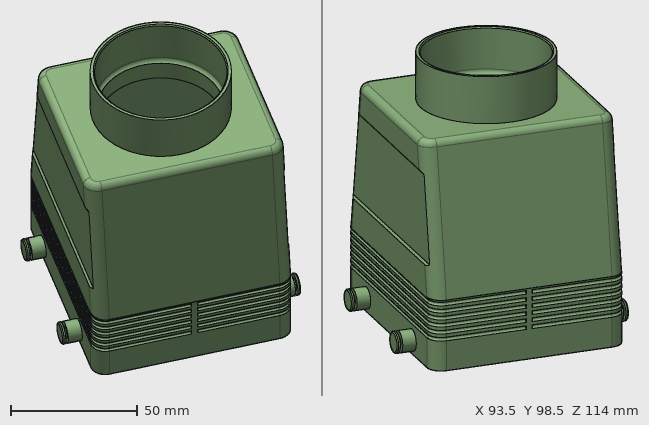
import cadquery as cq


BASE_X = 93.5
BASE_Y = 82.5
CORNER_R = 6.0
BASE_TOP = 30.0
BODY_TOP = 94.0
TOTAL_Z = 114.0

BODY_BOTTOM_X = 93.2
BODY_TOP_X = 72.0
TOP_EDGE_R = 3.0

PANEL_DEPTH = 0.9
PANEL_BOTTOM = 42.9
PANEL_TOP = 81.0

GROOVE_R = 0.75
GROOVE_COUNT = 6
GROOVE_PITCH = 3.0
FIRST_GROOVE_Z = 13.5
PLAIN_STRIP_WIDTH = 2.6

NECK_D = 56.0
BORE_D = 52.5
PASSAGE_D = 50.0
RIM_CHAMFER = 0.5
BORE_DEPTH = 17.9
BORE_STEP_HEIGHT = 2.0

CAVITY_X = 68.0
CAVITY_Y = 71.5
CAVITY_TOP = 86.0

PIN_SPAN_Y = 98.5
PIN_X = 24.75
PIN_Z = 6.0
PIN_D = 9.0
PIN_NECK_D = 5.0
PIN_HEAD_LENGTH = 1.25
PIN_NECK_LENGTH = 1.0
PIN_HEAD_CHAMFER = 0.5
PIN_ROOT = 1.0


def make_base():
    block = cq.Workplane("XY").box(BASE_X, BASE_Y, BASE_TOP, centered=(True, True, False))
    return block.edges("|Z").fillet(CORNER_R)


def make_groove(z):
    """Round bead along the base outline, interrupted in the middle of both X faces."""
    outline = (
        cq.Workplane("XY", origin=(0, 0, z))
        .rect(BASE_X, BASE_Y)
        .extrude(1)
        .edges("|Z")
        .fillet(CORNER_R)
        .faces("<Z")
        .wires()
    )
    bead = cq.Workplane("YZ", origin=(0, -BASE_Y / 2, z)).circle(GROOVE_R).sweep(outline)
    strip = cq.Workplane("XY", origin=(0, 0, z)).box(2 * BASE_X, PLAIN_STRIP_WIDTH, 4 * GROOVE_R)
    return bead.cut(strip)


def make_body():
    """Block tapering in X only, with rounded corners and a rounded top edge."""
    body = (
        cq.Workplane("XZ", origin=(0, BASE_Y / 2, 0))
        .moveTo(-BODY_BOTTOM_X / 2, BASE_TOP)
        .lineTo(BODY_BOTTOM_X / 2, BASE_TOP)
        .lineTo(BODY_TOP_X / 2, BODY_TOP)
        .lineTo(-BODY_TOP_X / 2, BODY_TOP)
        .close()
        .extrude(BASE_Y)
    )
    slanted_edges = body.faces("<Y or >Y").edges("not #Z")
    body = slanted_edges.fillet(CORNER_R)
    return body.faces(">Z").edges().fillet(TOP_EDGE_R)


def make_panel_cut():
    """Full-width cut with 45 degree end slopes, for the -Y face."""
    outer_y = -BASE_Y / 2
    floor_y = outer_y + PANEL_DEPTH
    return (
        cq.Workplane("YZ", origin=(-BASE_X / 2, 0, 0))
        .moveTo(outer_y, PANEL_BOTTOM)
        .lineTo(floor_y, PANEL_BOTTOM + PANEL_DEPTH)
        .lineTo(floor_y, PANEL_TOP - PANEL_DEPTH)
        .lineTo(outer_y, PANEL_TOP)
        .close()
        .extrude(BASE_X)
    )


def make_neck():
    return cq.Workplane("XY", origin=(0, 0, BODY_TOP)).circle(NECK_D / 2).extrude(TOTAL_Z - BODY_TOP)


def make_bore():
    """Chamfered bore that narrows through a rounded step to the cable passage."""
    bore_r = BORE_D / 2
    passage_r = PASSAGE_D / 2
    bore_bottom = TOTAL_Z - BORE_DEPTH
    step_width = bore_r - passage_r
    step_r = (step_width**2 + BORE_STEP_HEIGHT**2) / (2 * step_width)
    return (
        cq.Workplane("XZ")
        .moveTo(0, CAVITY_TOP)
        .lineTo(passage_r, CAVITY_TOP)
        .lineTo(passage_r, bore_bottom - BORE_STEP_HEIGHT)
        .radiusArc((bore_r, bore_bottom), -step_r)
        .lineTo(bore_r, TOTAL_Z - RIM_CHAMFER)
        .lineTo(bore_r + RIM_CHAMFER, TOTAL_Z)
        .lineTo(0, TOTAL_Z)
        .close()
        .revolve(360, (0, 0, 0), (0, 1, 0))
    )


def make_cavity():
    return cq.Workplane("XY").box(CAVITY_X, CAVITY_Y, CAVITY_TOP, centered=(True, True, False))


def make_pin(x):
    """Headed pin on the -Y face, standing out along -Y."""
    tip_y = -PIN_SPAN_Y / 2
    head_back_y = tip_y + PIN_HEAD_LENGTH
    shank_front_y = head_back_y + PIN_NECK_LENGTH
    root_y = -BASE_Y / 2 + PIN_ROOT
    pin_r = PIN_D / 2
    return (
        cq.Workplane("XY", origin=(x, 0, PIN_Z))
        .moveTo(0, tip_y)
        .lineTo(pin_r - PIN_HEAD_CHAMFER, tip_y)
        .lineTo(pin_r, tip_y + PIN_HEAD_CHAMFER)
        .lineTo(pin_r, head_back_y)
        .lineTo(PIN_NECK_D / 2, head_back_y)
        .lineTo(PIN_NECK_D / 2, shank_front_y)
        .lineTo(pin_r, shank_front_y)
        .lineTo(pin_r, root_y)
        .lineTo(0, root_y)
        .close()
        .revolve(360, (0, 0, 0), (0, 1, 0))
    )


base = make_base()
for index in range(GROOVE_COUNT):
    base = base.cut(make_groove(FIRST_GROOVE_Z + index * GROOVE_PITCH))

panel_cut = make_panel_cut()
body = make_body().cut(panel_cut).cut(panel_cut.mirror("XZ"))

hood = base.union(body).union(make_neck()).cut(make_cavity()).cut(make_bore())

for pin_x in (-PIN_X, PIN_X):
    pin = make_pin(pin_x)
    hood = hood.union(pin).union(pin.mirror("XZ"))

result = hood